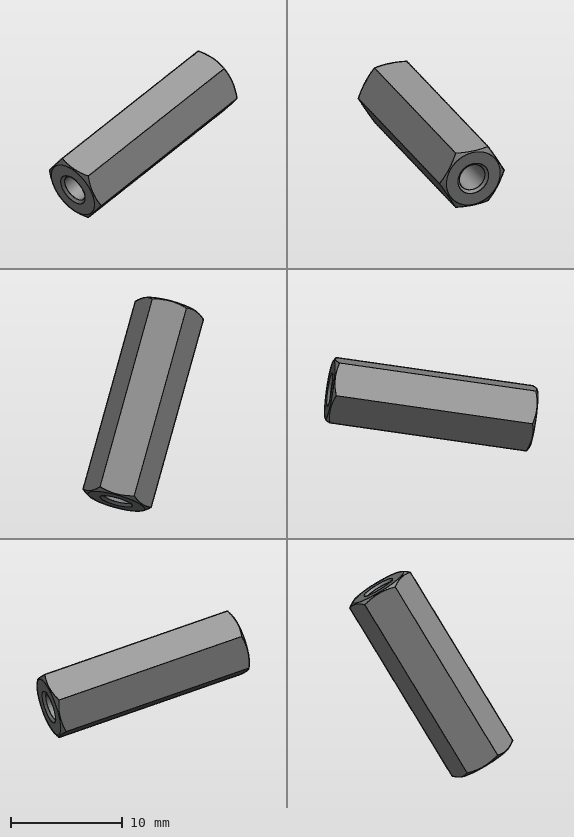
import cadquery as cq
import math

hexagon_sides = 6
across_flats = 5.5
length = 18.5
hole_diameter = 2.5

end_face_diameter = 5.28
corner_chamfer_angle = 30.0

countersink_diameter = 3.0
countersink_angle = 45.0

across_corners = across_flats / math.cos(math.pi / hexagon_sides)
half_length = length / 2


def revolve_about_y(points):
    """Revolve a closed (radius, y) outline a full turn about the Y axis."""
    return cq.Workplane("XY").polyline(points).close().revolve(360, (0, 0, 0), (0, 1, 0))


def hexagonal_bar():
    """Hexagon with flats facing +Z and -Z and corners on the X axis."""
    far_end = cq.Workplane("XZ", origin=(0, half_length, 0))
    return far_end.polygon(hexagon_sides, across_corners).extrude(length)


def chamfer_envelope():
    """Round bar with coned ends that trims the corners of the hexagon."""
    end_radius = end_face_diameter / 2
    outer_radius = across_corners
    drop = (outer_radius - end_radius) * math.tan(math.radians(corner_chamfer_angle))
    shoulder = half_length - drop
    return revolve_about_y([
        (0, -half_length),
        (end_radius, -half_length),
        (outer_radius, -shoulder),
        (outer_radius, shoulder),
        (end_radius, half_length),
        (0, half_length),
    ])


def countersunk_hole():
    """Through hole with a countersink at each mouth."""
    hole_radius = hole_diameter / 2
    mouth_radius = countersink_diameter / 2
    depth = (mouth_radius - hole_radius) * math.tan(math.radians(countersink_angle))
    return revolve_about_y([
        (0, -half_length),
        (mouth_radius, -half_length),
        (hole_radius, depth - half_length),
        (hole_radius, half_length - depth),
        (mouth_radius, half_length),
        (0, half_length),
    ])


result = hexagonal_bar().intersect(chamfer_envelope()).cut(countersunk_hole())